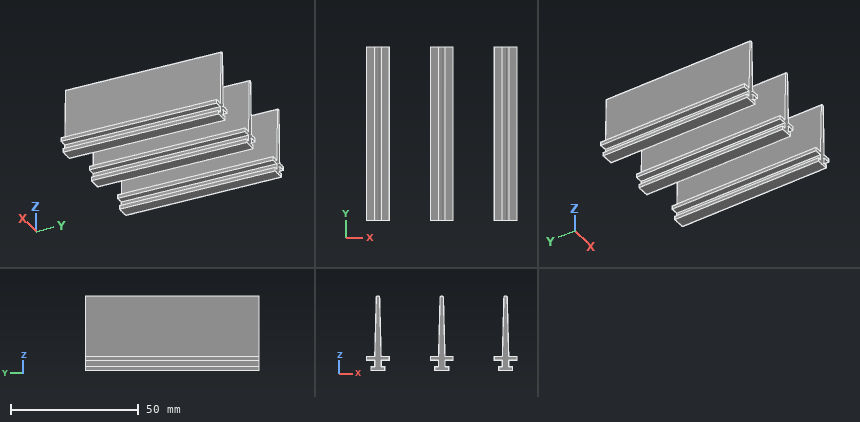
import cadquery as cq

strip_count = 3
strip_pitch = 25.0
strip_length = 68.0

foot_width = 5.5
foot_height = 1.6
neck_width = 2.6
neck_height = 2.4
flange_width = 9.0
flange_thickness = 1.6

total_height = 29.31
blade_top_width = 1.4
tip_rise = 0.69

neck_bottom = foot_height
flange_bottom = neck_bottom + neck_height
flange_top = flange_bottom + flange_thickness
blade_shoulder = total_height - tip_rise


def divider_strip(center_x):
    """One strip: an extruded cross-section, symmetric about its blade."""
    right_side = [
        (foot_width / 2, 0),
        (foot_width / 2, neck_bottom),
        (neck_width / 2, neck_bottom),
        (neck_width / 2, flange_bottom),
        (flange_width / 2, flange_bottom),
        (flange_width / 2, flange_top),
        (neck_width / 2, flange_top),
        (blade_top_width / 2, blade_shoulder),
    ]
    left_side = [(-x, z) for x, z in reversed(right_side)]
    section = (
        cq.Workplane("XZ", origin=(center_x, 0, 0))
        .polyline(right_side)
        .threePointArc((0, total_height), left_side[0])
        .polyline(left_side, includeCurrent=False)
        .close()
    )
    return section.extrude(strip_length / 2, both=True)


first_center_x = -strip_pitch * (strip_count - 1) / 2
strips = [divider_strip(first_center_x + i * strip_pitch) for i in range(strip_count)]

result = cq.Compound.makeCompound([strip.val() for strip in strips])